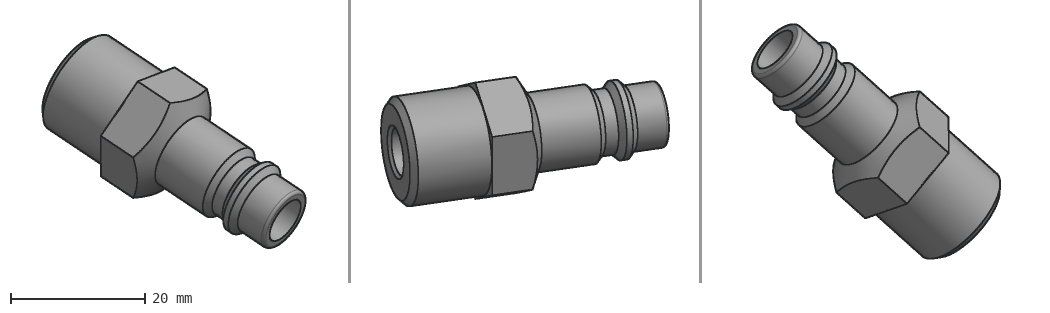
import cadquery as cq
import math

length = 41.3
thread_radius = 8.3
thread_length = 12.47
chamfer = 1.0

hex_across_flats = 17.0
hex_across_corners = hex_across_flats / math.cos(math.radians(30))
cone_end = 21.0
cone_angle = 30.0

body_radius = 6.05
neck_radius = body_radius - chamfer
body_end = 30.27
collar_start = 34.28
collar_end = 35.25
tip_round = 0.5

bore_radius = 3.6
bore_chamfer = 0.5


def make_plug():
    """Turned profile of the threaded end, body, locking collar and tip."""
    return (
        cq.Workplane("XY")
        .moveTo(0, 0)
        .lineTo(0, thread_radius - chamfer)
        .lineTo(chamfer, thread_radius)
        .lineTo(thread_length, thread_radius)
        .lineTo(thread_length, body_radius)
        .lineTo(body_end, body_radius)
        .lineTo(body_end + chamfer, neck_radius)
        .lineTo(collar_start - chamfer, neck_radius)
        .lineTo(collar_start, body_radius)
        .lineTo(collar_end, body_radius)
        .lineTo(collar_end + chamfer, neck_radius)
        .lineTo(length, neck_radius)
        .lineTo(length, 0)
        .close()
        .revolve(360, (0, 0, 0), (1, 0, 0))
        .faces(">X")
        .edges()
        .fillet(tip_round)
    )


def make_hex():
    """Hexagon with corners on the Z axis, trimmed by a cone towards the plug."""
    prism = (
        cq.Workplane("YZ", origin=(thread_length, 0, 0))
        .transformed(rotate=(0, 0, 90))
        .polygon(6, hex_across_corners)
        .extrude(cone_end - thread_length)
    )
    outer_radius = hex_across_corners
    cone_depth = (outer_radius - body_radius) * math.tan(math.radians(cone_angle))
    envelope = (
        cq.Workplane("XY")
        .moveTo(0, 0)
        .lineTo(0, outer_radius)
        .lineTo(cone_end - cone_depth, outer_radius)
        .lineTo(cone_end, body_radius)
        .lineTo(cone_end, 0)
        .close()
        .revolve(360, (0, 0, 0), (1, 0, 0))
    )
    return prism.intersect(envelope)


def make_bore():
    """Through bore, countersunk at the threaded end."""
    return (
        cq.Workplane("XY")
        .moveTo(0, 0)
        .lineTo(0, bore_radius + bore_chamfer)
        .lineTo(bore_chamfer, bore_radius)
        .lineTo(length, bore_radius)
        .lineTo(length, 0)
        .close()
        .revolve(360, (0, 0, 0), (1, 0, 0))
    )


result = make_plug().union(make_hex()).cut(make_bore())